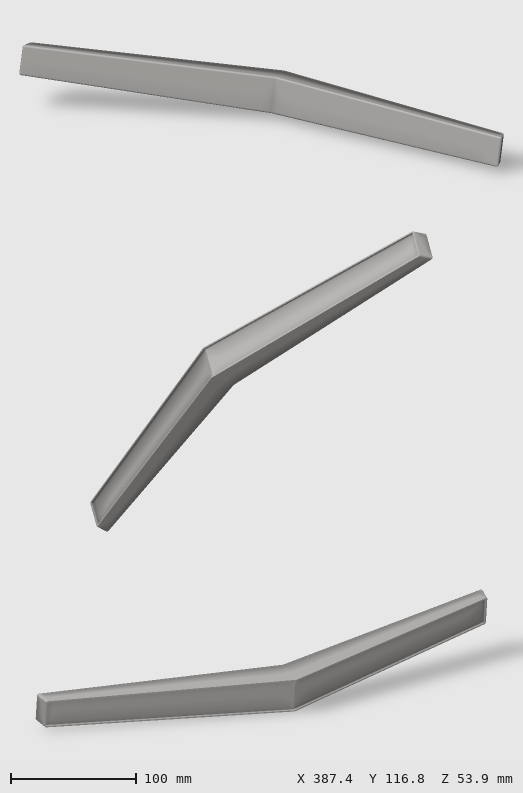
import cadquery as cq
import math

leg_length = 204.5
leg_drop = 14.75
bend_width = 24.8
tip_width = 14.0
tip_splay = 9.0
bend_thickness = 30.2
tip_thickness = 24.8
edge_radius = 1.5
crease_radius = 4.0
rim_width = 1.0
recess_depth = 2.0
plate_thickness = 2.0
plate_start = 4.5
arm_tilt = 14.0

drop_cos = math.cos(math.radians(leg_drop))
drop_sin = math.sin(math.radians(leg_drop))
splay_cos = math.cos(math.radians(tip_splay))
splay_sin = math.sin(math.radians(tip_splay))


def leg_point(along, depth):
    """Point on the right leg: distance along the back edge, then square into the leg."""
    return (along * drop_cos - depth * drop_sin, -along * drop_sin - depth * drop_cos)


recess_end = leg_length - rim_width
tip_back = leg_point(leg_length, 0)
tip_front = (tip_back[0] + tip_width * splay_sin, tip_back[1] - tip_width * splay_cos)


def prism(outline):
    """Plan outline extruded taller than the arm is thick."""
    return cq.Workplane("XY").polyline(outline).close().extrude(bend_thickness, both=True)


def mirrored_prism(half_outline):
    """Prism of one leg's outline, starting and ending on X = 0, joined to its mirror image."""
    other_half = [(-x, y) for x, y in reversed(half_outline[1:-1])]
    return prism(half_outline + other_half)


def thickness_taper(inset=0.0):
    """Side profile, thickest at the bend, carried through from back to front."""
    half_bend = bend_thickness / 2 - inset
    half_tip = tip_thickness / 2 - inset
    end_x = tip_front[0]
    profile = [
        (-end_x, -half_tip),
        (0, -half_bend),
        (end_x, -half_tip),
        (end_x, half_tip),
        (0, half_bend),
        (-end_x, half_tip),
    ]
    return cq.Workplane("XZ").polyline(profile).close().extrude(leg_length, both=True)


def arm_blank():
    """Bent arm tapering in width and thickness from the bend to both tips."""
    plan = mirrored_prism([(0, 0), tip_back, tip_front, (0, -bend_width)])
    return plan.intersect(thickness_taper())


def nearest_edge(body, x, y, z):
    return body.edges(cq.selectors.NearestToPointSelector((x, y, z)))


def round_crease(arm):
    """Round the concave edge between the two front faces."""
    return nearest_edge(arm, 0, -bend_width, 0).fillet(crease_radius)


def round_front_and_tips(arm):
    """Round the edges of the front and tip faces; the back and the mitre stay sharp."""
    front_middle = (tip_front[0] / 2, (tip_front[1] - bend_width) / 2)
    tip_middle = ((tip_back[0] + tip_front[0]) / 2, (tip_back[1] + tip_front[1]) / 2)
    rounded = cq.Workplane("XY")
    for side in (-1, 1):
        rounded = rounded.add(nearest_edge(arm, side * tip_front[0], tip_front[1], 0))
        for x, y in (front_middle, tip_middle):
            for z in (-tip_thickness / 2, tip_thickness / 2):
                rounded = rounded.add(nearest_edge(arm, side * x, y, z))
    return arm.newObject(rounded.vals()).fillet(edge_radius)


def back_recess():
    """Shallow recess along the whole back, square to the back at both ends."""
    plan = mirrored_prism([
        (0, 0),
        leg_point(recess_end, 0),
        leg_point(recess_end, recess_depth),
        (0, -recess_depth / drop_cos),
    ])
    return plan.intersect(thickness_taper(rim_width))


def right_plate():
    """Flat plate at the bottom of the recess in the right leg."""
    plate_bottom = recess_depth + plate_thickness
    plan = prism([
        leg_point(plate_start, recess_depth),
        leg_point(recess_end, recess_depth),
        leg_point(recess_end, plate_bottom),
        leg_point(plate_start, plate_bottom),
    ])
    return plan.intersect(thickness_taper(rim_width))


def place(body):
    """Turn the right leg's back edge parallel to X, then raise the front."""
    level = body.rotate((0, 0, 0), (0, 0, 1), leg_drop)
    return level.rotate((0, 0, 0), (1, 0, 0), -arm_tilt)


plates = [right_plate(), right_plate().mirror("YZ")]

arm = round_front_and_tips(round_crease(arm_blank())).cut(back_recess())
for plate in plates:
    arm = arm.cut(plate)

result = cq.Compound.makeCompound([
    place(arm).val(),
    *[place(plate).val() for plate in plates],
])